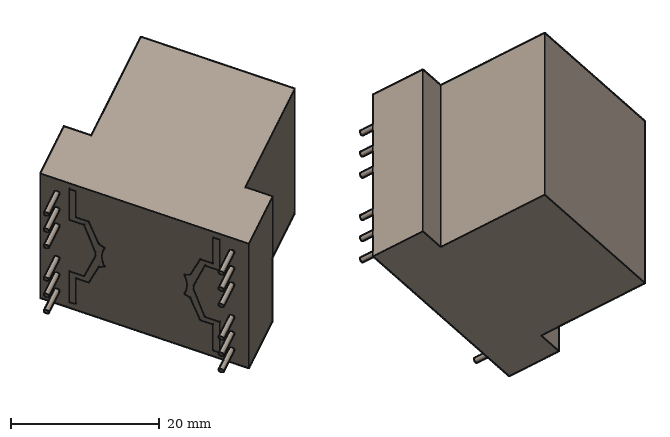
import cadquery as cq
import math

flange_width = 30.35
housing_height = 29.2
flange_depth = 8.4
body_width = 22.4
body_depth = 17.5

pin_diameter = 0.8
pin_length = 3.8
pin_column_spacing = 25.4
pin_row_span = 22.85
pin_steps = (-3, -2, -1, 1, 2, 3)
pin_pitch = pin_row_span / (pin_steps[-1] - pin_steps[0])

strip_outer_x = 10.93
strip_wall = 0.97
strip_half_height = 13.23
strip_end_radius = 0.2
outer_shoulder_x = 8.77
outer_shoulder_z = 6.0
inner_shoulder_x = 8.1
inner_shoulder_z = 7.13
outer_arc_radius = 7.13
outer_arc_half_height = 0.4
notch_x = 6.65
notch_z = 2.7
inner_arc_radius = 6.2
tip_z = 2.22
strip_depth = flange_depth


def circle_x(radius, z):
    """X distance, at height z, of a circle centred on the Y axis."""
    return math.sqrt(radius**2 - z**2)


def make_strip(side):
    """One inlay strip; side is -1 for the -X strip and +1 for the +X strip."""
    strip_inner_x = strip_outer_x - strip_wall
    outer_arc_x = circle_x(outer_arc_radius, outer_arc_half_height)
    tip_x = circle_x(inner_arc_radius, tip_z)

    def at(x, z):
        return (side * x, z)

    return (
        cq.Workplane("XZ")
        .moveTo(*at(strip_outer_x, strip_half_height))
        .lineTo(*at(strip_outer_x, outer_shoulder_z))
        .lineTo(*at(outer_shoulder_x, outer_shoulder_z))
        .lineTo(*at(outer_arc_x, outer_arc_half_height))
        .threePointArc(at(outer_arc_radius, 0), at(outer_arc_x, -outer_arc_half_height))
        .lineTo(*at(outer_shoulder_x, -outer_shoulder_z))
        .lineTo(*at(strip_outer_x, -outer_shoulder_z))
        .lineTo(*at(strip_outer_x, -strip_half_height))
        .lineTo(*at(strip_inner_x + strip_end_radius, -strip_half_height))
        .tangentArcPoint(at(strip_inner_x, strip_end_radius - strip_half_height), relative=False)
        .lineTo(*at(strip_inner_x, -inner_shoulder_z))
        .lineTo(*at(inner_shoulder_x, -inner_shoulder_z))
        .lineTo(*at(notch_x, -notch_z))
        .lineTo(*at(tip_x, -tip_z))
        .threePointArc(at(inner_arc_radius, 0), at(tip_x, tip_z))
        .lineTo(*at(notch_x, notch_z))
        .lineTo(*at(inner_shoulder_x, inner_shoulder_z))
        .lineTo(*at(strip_inner_x, inner_shoulder_z))
        .lineTo(*at(strip_inner_x, strip_half_height - strip_end_radius))
        .tangentArcPoint(at(strip_inner_x + strip_end_radius, strip_half_height), relative=False)
        .close()
        .extrude(-strip_depth)
    )


def make_housing(strips):
    """Flange, rear body and pins as one solid, with a pocket for each strip."""
    flange = cq.Workplane("XZ").rect(flange_width, housing_height).extrude(-flange_depth)
    body = (
        cq.Workplane("XZ", origin=(0, flange_depth, 0))
        .rect(body_width, housing_height)
        .extrude(-body_depth)
    )
    pin_places = [
        (side * pin_column_spacing / 2, step * pin_pitch) for side in (-1, 1) for step in pin_steps
    ]
    pins = cq.Workplane("XZ").pushPoints(pin_places).circle(pin_diameter / 2).extrude(pin_length)
    housing = flange.union(body).union(pins)
    for strip in strips:
        housing = housing.cut(strip)
    return housing


strips = [make_strip(side) for side in (-1, 1)]
housing = make_housing(strips)

result = cq.Compound.makeCompound([housing.val(), *[strip.val() for strip in strips]])